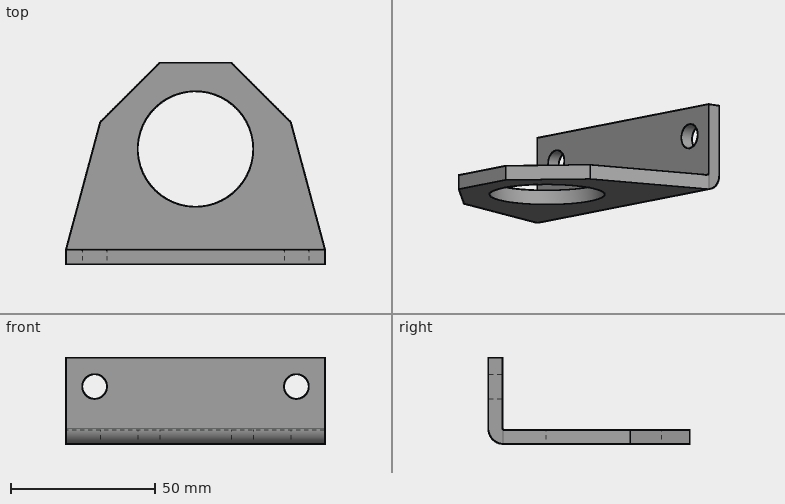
import cadquery as cq

WIDTH = 90.0
DEPTH = 70.0
HEIGHT = 30.0
THICKNESS = 5.0
INNER_BEND_RADIUS = 0.48
OUTER_BEND_RADIUS = INNER_BEND_RADIUS + THICKNESS

TIP_WIDTH = 24.7
SHOULDER_WIDTH = 66.2
SHOULDER_Y = 49.3
TAPER_START_Y = THICKNESS

BORE_DIAMETER = 40.0
BORE_Y = 40.0
MOUNT_HOLE_DIAMETER = 8.5
MOUNT_HOLE_SPACING = 70.0
MOUNT_HOLE_Z = 20.0


def bent_plate():
    """L-shaped sheet centred on X, with its upright against Y = 0."""
    profile = (
        cq.Workplane("YZ")
        .moveTo(0, HEIGHT)
        .lineTo(0, OUTER_BEND_RADIUS)
        .radiusArc((OUTER_BEND_RADIUS, 0), -OUTER_BEND_RADIUS)
        .lineTo(DEPTH, 0)
        .lineTo(DEPTH, THICKNESS)
        .lineTo(OUTER_BEND_RADIUS, THICKNESS)
        .radiusArc((THICKNESS, OUTER_BEND_RADIUS), INNER_BEND_RADIUS)
        .lineTo(THICKNESS, HEIGHT)
        .close()
    )
    return profile.extrude(WIDTH / 2, both=True)


def plan_outline():
    """Prism over the plan shape: full width at the bend, tapering to the tip."""
    right_side = [
        (WIDTH / 2, 0),
        (WIDTH / 2, TAPER_START_Y),
        (SHOULDER_WIDTH / 2, SHOULDER_Y),
        (TIP_WIDTH / 2, DEPTH),
    ]
    left_side = [(-x, y) for x, y in reversed(right_side)]
    return cq.Workplane("XY").polyline(right_side + left_side).close().extrude(HEIGHT)


def bore():
    """Large vertical hole through the base plate."""
    return cq.Workplane("XY").center(0, BORE_Y).circle(BORE_DIAMETER / 2).extrude(THICKNESS)


def mount_holes():
    """Pair of horizontal holes through the upright."""
    half_spacing = MOUNT_HOLE_SPACING / 2
    return (
        cq.Workplane("XZ")
        .pushPoints([(-half_spacing, MOUNT_HOLE_Z), (half_spacing, MOUNT_HOLE_Z)])
        .circle(MOUNT_HOLE_DIAMETER / 2)
        .extrude(-THICKNESS)
    )


result = bent_plate().intersect(plan_outline()).cut(bore()).cut(mount_holes())